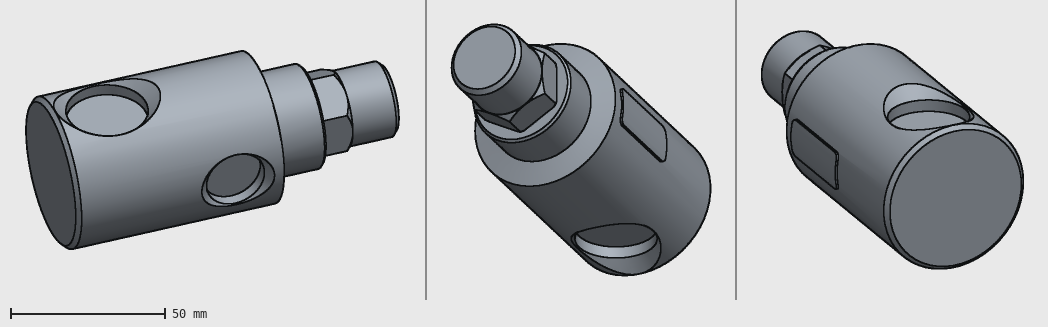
import cadquery as cq
import math

total_length = 115.9
shoulder_start = 71.3
collar_start = 73.2
collar_end = 88.8
hex_end = 99.4

body_radius = 25.4
body_chamfer = 1.5
collar_radius = 17.5
collar_chamfer = 0.8

stub_radius = 12.6
stub_chamfer = 1.5
hex_across_flats = 25.5
hex_base_chamfer = 0.6
hex_inner_radius = hex_across_flats / 2
hex_corner_radius = hex_inner_radius / math.cos(math.pi / 6)

bore_depth = 4.0
main_port_y = 19.4
main_mouth_radius = 17.7
main_bore_radius = 13.3
side_port_y = 55.4
side_mouth_radius = 12.5
side_bore_radius = 10.0

plate_thickness = 0.7
plate_start = 35.0
plate_length = 31.7
plate_width = 13.1
plate_corner_radius = 2.0


def revolve_about_y(points):
    """Turn a closed (radius, Y) outline about the Y axis."""
    return cq.Workplane("XY").polyline(points).close().revolve(360, (0, 0, 0), (0, 1, 0))


def port_cutter(mouth_radius, bore_radius):
    """Port tool along +Z whose mouth radius is reached at the body radius."""
    cone_bottom = body_radius - (mouth_radius - bore_radius)
    floor = cone_bottom - bore_depth
    clearance = 1.2
    outline = [
        (0, floor),
        (bore_radius, floor),
        (bore_radius, cone_bottom),
        (mouth_radius + clearance, body_radius + clearance),
        (0, body_radius + clearance),
    ]
    return cq.Workplane("XZ").polyline(outline).close().revolve(360, (0, 0, 0), (0, 1, 0))


def make_name_plate():
    """Rounded rectangle raised from the body and concentric with it."""
    outer_radius = body_radius + plate_thickness
    outline = (
        cq.Workplane("YZ")
        .center(plate_start + plate_length / 2, 0)
        .rect(plate_length, plate_width)
        .extrude(-outer_radius)
        .edges("|X")
        .fillet(plate_corner_radius)
    )
    envelope = cq.Workplane("XZ").circle(outer_radius).extrude(-total_length)
    return outline.intersect(envelope)


def make_housing():
    """Cylindrical body with a stepped collar, three ports and a name plate."""
    housing = revolve_about_y([
        (0, 0),
        (body_radius - body_chamfer, 0),
        (body_radius, body_chamfer),
        (body_radius, shoulder_start),
        (collar_radius, collar_start),
        (collar_radius, collar_end - collar_chamfer),
        (collar_radius - collar_chamfer, collar_end),
        (0, collar_end),
    ])
    housing = housing.union(make_name_plate())

    main_port = port_cutter(main_mouth_radius, main_bore_radius)
    for angle in (0, 180):
        opposed_port = main_port.rotate((0, 0, 0), (0, 1, 0), angle)
        housing = housing.cut(opposed_port.translate((0, main_port_y, 0)))

    side_port = port_cutter(side_mouth_radius, side_bore_radius).rotate((0, 0, 0), (0, 1, 0), 90)
    return housing.cut(side_port.translate((0, side_port_y, 0)))


def make_fitting():
    """Hexagon with turned corners and a round stub, seated on the collar."""
    hexagon = (
        cq.Workplane("XZ", origin=(0, collar_end, 0))
        .polygon(6, 2 * hex_corner_radius)
        .extrude(collar_end - hex_end)
        .rotate((0, 0, 0), (0, 1, 0), 90)
    )
    hex_end_chamfer = hex_corner_radius - hex_inner_radius
    corner_envelope = revolve_about_y([
        (0, collar_end),
        (hex_corner_radius - hex_base_chamfer, collar_end),
        (hex_corner_radius, collar_end + hex_base_chamfer),
        (hex_corner_radius, hex_end - hex_end_chamfer),
        (hex_inner_radius, hex_end),
        (0, hex_end),
    ])
    stub = revolve_about_y([
        (0, hex_end),
        (stub_radius, hex_end),
        (stub_radius, total_length - stub_chamfer),
        (stub_radius - stub_chamfer, total_length),
        (0, total_length),
    ])
    return hexagon.intersect(corner_envelope).union(stub)


housing = make_housing()
fitting = make_fitting()

result = cq.Compound.makeCompound([housing.val(), fitting.val()])